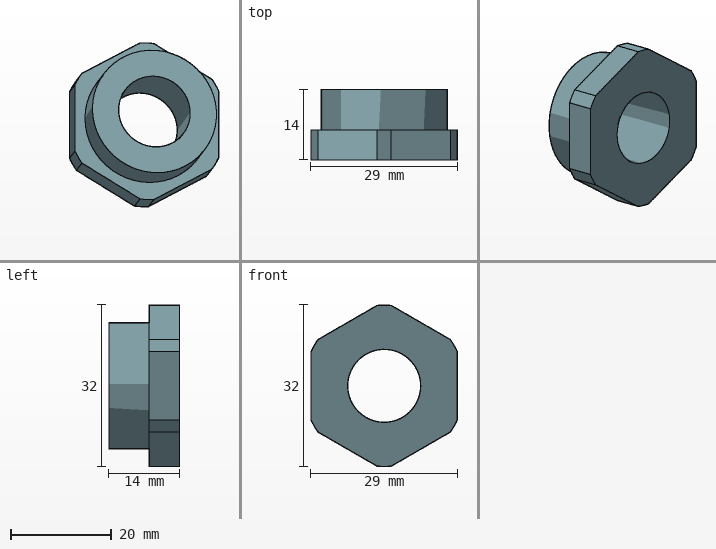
import cadquery as cq
import math

ACROSS_FLATS = 29.0
CORNER_DIAMETER = 32.0
FLANGE_THICKNESS = 6.0
BOSS_DIAMETER = 25.0
BOSS_LENGTH = 8.0
BORE_DIAMETER = 14.4

ACROSS_CORNERS = ACROSS_FLATS / math.cos(math.radians(30))
TOTAL_LENGTH = FLANGE_THICKNESS + BOSS_LENGTH



def cylinder_along_y(diameter, length):
    """Cylinder on the Y axis, from Y = 0 to Y = length."""
    return cq.Workplane("XZ").circle(diameter / 2).extrude(-length)


def make_flange():
    """Hexagonal flange with flats facing +/-X and corners rounded by a cylinder."""
    hexagon = (
        cq.Workplane("XZ")
        .transformed(rotate=(0, 0, 90))
        .polygon(6, ACROSS_CORNERS)
        .extrude(-FLANGE_THICKNESS)
    )
    return hexagon.intersect(cylinder_along_y(CORNER_DIAMETER, FLANGE_THICKNESS))


def make_boss():
    """Round boss; it starts at the flange face so that it overlaps the flange."""
    return cylinder_along_y(BOSS_DIAMETER, TOTAL_LENGTH)


def make_bore():
    """Through bore along the whole length."""
    return cylinder_along_y(BORE_DIAMETER, TOTAL_LENGTH)


result = make_flange().union(make_boss()).cut(make_bore())